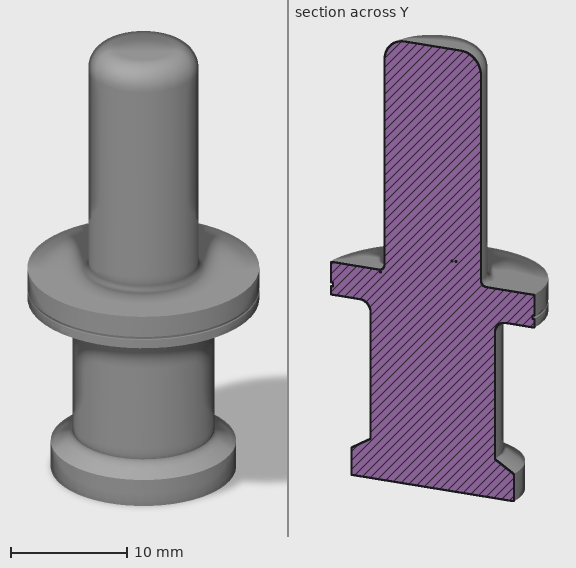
import cadquery as cq
import math

total_height = 40.0
flange_bottom = 16.0
flange_top = 19.0

head_radius = 8.0
head_height = 2.5
shoulder_angle = 30.0

neck_radius = 6.1
neck_fillet = 1.0

flange_radius = 10.0
groove_bottom = 16.8
groove_width = 0.3
groove_depth = 0.2

pin_radius = 4.75
pin_root_fillet = 0.5
pin_tip_fillet = 2.0

shoulder_top = head_height + (head_radius - neck_radius) * math.tan(math.radians(shoulder_angle))
groove_top = groove_bottom + groove_width
groove_radius = flange_radius - groove_depth


def quarter_arc_middle(center_radius, center_height, arc_radius, radial_side, vertical_side):
    """Midpoint of a quarter arc; each side (+1 or -1) gives its direction from the centre."""
    offset = arc_radius * math.sqrt(0.5)
    return (center_radius + radial_side * offset, center_height + vertical_side * offset)


neck_arc_middle = quarter_arc_middle(
    neck_radius + neck_fillet, flange_bottom - neck_fillet, neck_fillet, -1, 1
)
root_arc_middle = quarter_arc_middle(
    pin_radius + pin_root_fillet, flange_top + pin_root_fillet, pin_root_fillet, -1, -1
)
tip_arc_middle = quarter_arc_middle(
    pin_radius - pin_tip_fillet, total_height - pin_tip_fillet, pin_tip_fillet, 1, 1
)

half_section = (
    cq.Workplane("XZ")
    .lineTo(head_radius, 0)
    .lineTo(head_radius, head_height)
    .lineTo(neck_radius, shoulder_top)
    .lineTo(neck_radius, flange_bottom - neck_fillet)
    .threePointArc(neck_arc_middle, (neck_radius + neck_fillet, flange_bottom))
    .lineTo(flange_radius, flange_bottom)
    .lineTo(flange_radius, groove_bottom)
    .lineTo(groove_radius, groove_bottom)
    .lineTo(groove_radius, groove_top)
    .lineTo(flange_radius, groove_top)
    .lineTo(flange_radius, flange_top)
    .lineTo(pin_radius + pin_root_fillet, flange_top)
    .threePointArc(root_arc_middle, (pin_radius, flange_top + pin_root_fillet))
    .lineTo(pin_radius, total_height - pin_tip_fillet)
    .threePointArc(tip_arc_middle, (pin_radius - pin_tip_fillet, total_height))
    .lineTo(0, total_height)
    .close()
)

result = half_section.revolve(360, (0, 0, 0), (0, 1, 0))